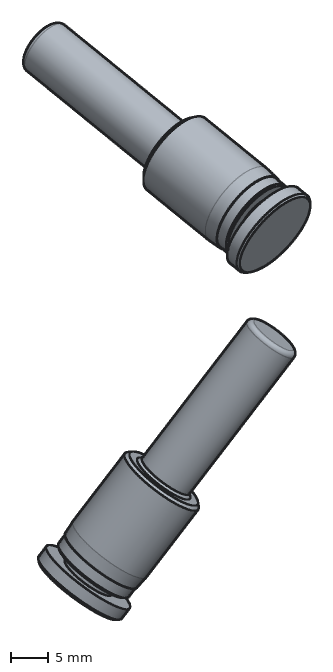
import cadquery as cq

length = 44.2
x_start = -length / 2
x_end = length / 2

stem_radius = 8.0 / 2
stem_tip_radius = 6.55 / 2
stem_tip_round = stem_radius - stem_tip_radius

body_radius = 12.4 / 2
body_start = x_start + 24.95
body_chamfer = 0.5
collar_length = 0.45
taper_start = x_start + 37.17
taper_end = x_start + 39.15
taper_end_radius = 12.1 / 2
nose_radius = 11.9 / 2
nose_end = x_start + 41.0
nose_chamfer = 0.2

neck_radius = 7.9 / 2
neck_seat_depth = 2.0
flange_start = x_start + 42.1
flange_half_width = 14.0 / 2
flange_half_height = 11.9 / 2
flange_chamfer = 0.3

seat_floor = nose_end - neck_seat_depth


def make_body():
    """Stem, tapered sleeve and the blind seat for the button neck, turned about X."""
    collar_start = body_start - collar_length
    turned = (
        cq.Workplane("XY")
        .moveTo(x_start, 0)
        .lineTo(x_start, stem_tip_radius)
        .radiusArc((x_start + stem_tip_round, stem_radius), stem_tip_round)
        .lineTo(collar_start, stem_radius)
        .lineTo(body_start, stem_radius + collar_length)
        .lineTo(body_start, body_radius - body_chamfer)
        .lineTo(body_start + body_chamfer, body_radius)
        .lineTo(taper_start, body_radius)
        .lineTo(taper_end, taper_end_radius)
        .lineTo(taper_end, nose_radius)
        .lineTo(nose_end - nose_chamfer, nose_radius)
        .lineTo(nose_end, nose_radius - nose_chamfer)
        .lineTo(nose_end, neck_radius)
        .lineTo(seat_floor, neck_radius)
        .lineTo(seat_floor, 0)
        .close()
    )
    return turned.revolve(360, (0, 0, 0), (1, 0, 0))


def make_release_button():
    """Neck filling the body seat, carrying an oval flange with a chamfered outer rim."""
    neck = (
        cq.Workplane("YZ", origin=(seat_floor, 0, 0))
        .circle(neck_radius)
        .extrude(flange_start - seat_floor)
    )
    flange = (
        cq.Workplane("YZ", origin=(flange_start, 0, 0))
        .ellipse(flange_half_width, flange_half_height)
        .extrude(x_end - flange_start)
        .faces(">X")
        .chamfer(flange_chamfer)
    )
    return neck.union(flange)


body = make_body()
release_button = make_release_button()

result = cq.Compound.makeCompound([body.val(), release_button.val()])